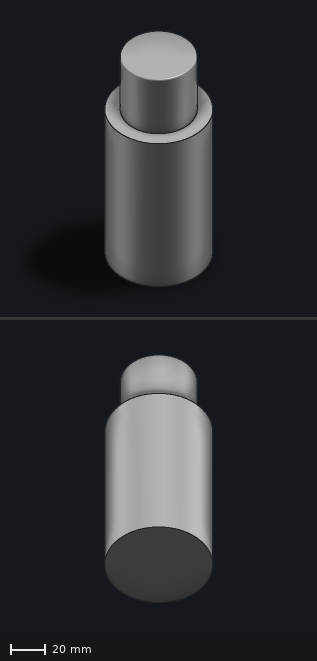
import cadquery as cq

total_height = 150.0
body_height = 109.0
body_diameter = 63.0
pin_diameter = 45.0
pin_edge_radius = 1.0

pin_height = total_height - body_height

body = cq.Workplane("XY").circle(body_diameter / 2).extrude(body_height)

pin = (
    cq.Workplane("XY")
    .workplane(offset=body_height)
    .circle(pin_diameter / 2)
    .extrude(pin_height)
    .faces(">Z")
    .edges()
    .fillet(pin_edge_radius)
)

result = body.union(pin)